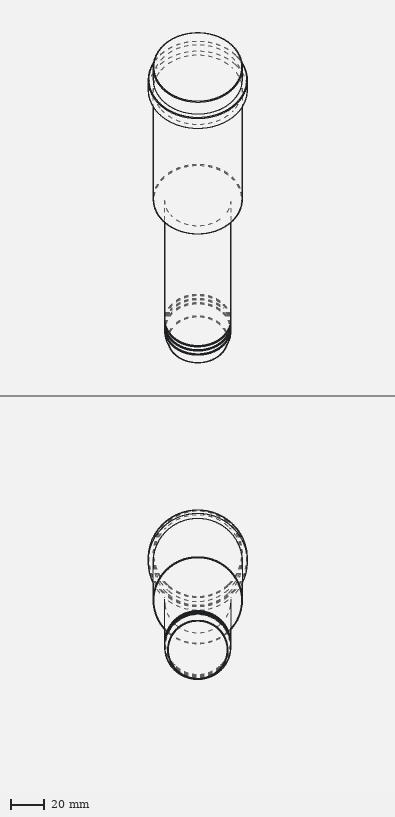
import cadquery as cq
import math

total_length = 263.0
shaft_length = 135.0
head_length = 12.0
collar_width = 10.0

shaft_radius = 20.0
body_radius = 27.0
collar_radius = 30.0

edge_chamfer = 0.5
shaft_root_fillet = 0.5
tip_chamfer = 0.4

relief_depth = 0.1
relief_cone_length = 0.9
relief_neck_length = 0.4
relief_length = relief_cone_length + relief_neck_length
relief_radius = body_radius - relief_depth

groove_count = 3
groove_pitch = 4.0
groove_radius = 0.5

tip_length = 7.0
tip_taper_angle = 15.0
tip_radius = shaft_radius - tip_length * math.tan(math.radians(tip_taper_angle))

tip_z = -shaft_length
taper_top_z = tip_z + tip_length
head_top_z = tip_z + total_length
collar_top_z = head_top_z - head_length
collar_bottom_z = collar_top_z - collar_width


def revolve_about_z(profile):
    return profile.revolve(360, (0, 0, 0), (0, 1, 0))


def make_shaft():
    """Shaft with a tapered tip, flaring into the shoulder with a root fillet."""
    profile = (
        cq.Workplane("XZ")
        .moveTo(0, 0)
        .lineTo(shaft_radius + shaft_root_fillet, 0)
        .radiusArc((shaft_radius, -shaft_root_fillet), -shaft_root_fillet)
        .lineTo(shaft_radius, taper_top_z)
        .lineTo(tip_radius, tip_z)
        .lineTo(0, tip_z)
        .close()
    )
    return revolve_about_z(profile).faces("<Z").edges().chamfer(tip_chamfer)


def make_groove(center_z):
    """Ring that cuts one groove around the shaft."""
    profile = cq.Workplane("XZ").center(shaft_radius, center_z).circle(groove_radius)
    return profile.revolve(360, (-shaft_radius, 0, 0), (-shaft_radius, 1, 0))


def make_body():
    """Body between the shoulder and the collar, relieved below the collar."""
    profile = (
        cq.Workplane("XZ")
        .moveTo(0, 0)
        .lineTo(body_radius - edge_chamfer, 0)
        .lineTo(body_radius, edge_chamfer)
        .lineTo(body_radius, collar_bottom_z - relief_length)
        .lineTo(relief_radius, collar_bottom_z - relief_neck_length)
        .lineTo(relief_radius, collar_bottom_z)
        .lineTo(0, collar_bottom_z)
        .close()
    )
    return revolve_about_z(profile)


def make_collar():
    """Collar with its upper rim chamfered."""
    collar = cq.Workplane("XY").workplane(offset=collar_bottom_z).circle(collar_radius).extrude(collar_width)
    return collar.faces(">Z").edges().chamfer(edge_chamfer)


def make_head():
    """Head above the collar, relieved at its foot and chamfered at its top."""
    profile = (
        cq.Workplane("XZ")
        .moveTo(0, collar_top_z)
        .lineTo(relief_radius, collar_top_z)
        .lineTo(relief_radius, collar_top_z + relief_neck_length)
        .lineTo(body_radius, collar_top_z + relief_length)
        .lineTo(body_radius, head_top_z - edge_chamfer)
        .lineTo(body_radius - edge_chamfer, head_top_z)
        .lineTo(0, head_top_z)
        .close()
    )
    return revolve_about_z(profile)


result = make_shaft().union(make_body()).union(make_collar()).union(make_head())
for groove_number in range(1, groove_count + 1):
    groove_z = taper_top_z + groove_number * groove_pitch - groove_radius
    result = result.cut(make_groove(groove_z))